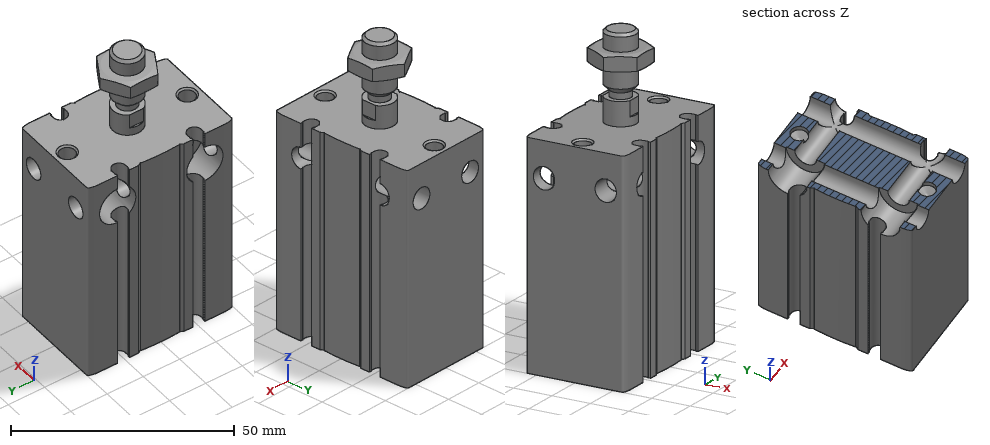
import cadquery as cq
import math

total_height = 78.0
rod_reach = 22.0
housing_width = 26.0
housing_length = 40.0
housing_height = total_height - rod_reach

half_width = housing_width / 2
half_length = housing_length / 2
corner_taper_length = 2.6
corner_taper_depth = 0.5
corner_radius = 0.6
groove_outer_y = 6.25
groove_step_y = 5.85
groove_step_depth = 0.2
groove_depth = 0.55
panel_edge_y = 5.4
panel_edge_depth = 0.4
panel_middle_depth = 0.15

slot_y = 10.4
slot_mouth = 3.3
slot_width = 3.7
slot_lip = 0.7
slot_depth = 3.6

cross_hole_diameter = 5.5
cross_hole_z = housing_height - 9.0
end_hole_x = 8.0
side_hole_y = 12.0
counterbore_diameter = 10.0
counterbore_depth = 8.0

top_hole_y = 16.5
top_hole_diameter = 4.1
top_hole_mouth = 5.0
top_hole_depth = 10.0
drill_tip_angle = 118.0

rod_diameter = 8.0
rod_neck_diameter = 5.3
rod_tip_diameter = 6.6
rod_shoulder_z = housing_height + 6.0
rod_neck_length = 1.55
rod_flat_width = 7.0
rod_flat_bottom_z = housing_height + 2.2

nut_across_flats = 13.0
nut_thickness = 4.0
nut_top_z = total_height - 4.3
nut_face_diameter = 11.8
nut_corner_drop = 0.4


def side_points(side):
    """Corners of the +X long side, from the panel edge to the taper (side = +1 or -1 in Y)."""
    taper_start_y = half_length - corner_taper_length
    return [
        (half_width - panel_edge_depth, side * panel_edge_y),
        (half_width - groove_depth, side * panel_edge_y),
        (half_width - groove_step_depth, side * groove_step_y),
        (half_width, side * groove_outer_y),
        (half_width, side * taper_start_y),
    ]


def half_profile():
    """The +X half of the housing outline, closed along the Y axis."""
    lower_side = side_points(-1)
    upper_side = side_points(1)
    corner_x = half_width - corner_taper_depth
    taper_middle_x = half_width - corner_taper_depth / 4
    taper_middle_y = half_length - corner_taper_length / 2
    outline = cq.Workplane("XY").moveTo(0, -half_length).lineTo(corner_x, -half_length)
    outline = outline.threePointArc((taper_middle_x, -taper_middle_y), lower_side[-1])
    for point in reversed(lower_side[:-1]):
        outline = outline.lineTo(*point)
    outline = outline.threePointArc((half_width - panel_middle_depth, 0), upper_side[0])
    for point in upper_side[1:]:
        outline = outline.lineTo(*point)
    outline = outline.threePointArc((taper_middle_x, taper_middle_y), (corner_x, half_length))
    return outline.lineTo(0, half_length).close()


def sensor_slot(y):
    """Cutter for one round-bottomed slot with a narrower mouth, in the +X side."""
    radius = slot_width / 2
    round_center_x = half_width - slot_depth + radius
    lip_x = half_width - slot_lip
    mouth_length = half_width - round_center_x
    chamber_length = lip_x - round_center_x
    cylinder = cq.Workplane("XY").center(round_center_x, y).circle(radius).extrude(housing_height)
    chamber = cq.Workplane("XY").center(round_center_x + chamber_length / 2, y)
    chamber = chamber.rect(chamber_length, slot_width).extrude(housing_height)
    mouth = cq.Workplane("XY").center(round_center_x + mouth_length / 2, y)
    mouth = mouth.rect(mouth_length, slot_mouth).extrude(housing_height)
    return cylinder.union(chamber).union(mouth)


def top_hole(y):
    """Cutter for one blind threaded hole with a chamfered mouth and a drill-point bottom."""
    radius = top_hole_diameter / 2
    mouth_radius = top_hole_mouth / 2
    tip_height = radius / math.tan(math.radians(drill_tip_angle / 2))
    floor_z = housing_height - top_hole_depth
    section = [
        (0, floor_z - tip_height),
        (radius, floor_z),
        (radius, housing_height - (mouth_radius - radius)),
        (mouth_radius, housing_height),
        (0, housing_height),
    ]
    cutter = cq.Workplane("XZ").polyline(section).close().revolve(360, (0, 0, 0), (0, 1, 0))
    return cutter.translate((0, y, 0))


def make_housing():
    half = half_profile().extrude(housing_height)
    for side in (-1, 1):
        half = half.cut(sensor_slot(side * slot_y))
    housing = half.union(half.mirror("YZ"))
    housing = housing.edges("|Z and (>Y or <Y)").fillet(corner_radius)

    for side in (-1, 1):
        end_hole = cq.Workplane("XZ").center(side * end_hole_x, cross_hole_z)
        end_hole = end_hole.circle(cross_hole_diameter / 2).extrude(half_length, both=True)
        side_hole = cq.Workplane("YZ").center(side * side_hole_y, cross_hole_z)
        side_hole = side_hole.circle(cross_hole_diameter / 2).extrude(half_width, both=True)
        counterbore = cq.Workplane("YZ", origin=(-half_width, 0, 0)).center(side * side_hole_y, cross_hole_z)
        counterbore = counterbore.circle(counterbore_diameter / 2).extrude(counterbore_depth)
        housing = housing.cut(end_hole).cut(side_hole).cut(counterbore)
        housing = housing.cut(top_hole(side * top_hole_y))
    return housing


def make_rod():
    radius = rod_diameter / 2
    neck_radius = rod_neck_diameter / 2
    tip_radius = rod_tip_diameter / 2
    neck_top_z = rod_shoulder_z + rod_neck_length
    section = [
        (0, housing_height),
        (radius, housing_height),
        (radius, rod_shoulder_z),
        (neck_radius, rod_shoulder_z),
        (neck_radius, neck_top_z),
        (radius, neck_top_z + radius - neck_radius),
        (radius, total_height - (radius - tip_radius)),
        (tip_radius, total_height),
        (0, total_height),
    ]
    rod = cq.Workplane("XZ").polyline(section).close().revolve(360, (0, 0, 0), (0, 1, 0))

    flat_cut_depth = (rod_diameter - rod_flat_width) / 2
    flat_cut_x = (rod_diameter + rod_flat_width) / 4
    for side in (-1, 1):
        flat_cut = cq.Workplane("XY", origin=(side * flat_cut_x, 0, rod_flat_bottom_z))
        flat_cut = flat_cut.rect(flat_cut_depth, rod_diameter).extrude(rod_shoulder_z - rod_flat_bottom_z)
        rod = rod.cut(flat_cut)
    return rod


def make_nut():
    """Hexagon nut with two flats facing X and its corners turned conical above and below."""
    hexagon_radius = nut_across_flats / math.sqrt(3)
    face_radius = nut_face_diameter / 2
    bottom_z = nut_top_z - nut_thickness
    nut = cq.Workplane("XY", origin=(0, 0, bottom_z)).polygon(6, 2 * hexagon_radius).extrude(nut_thickness)
    nut = nut.rotate((0, 0, 0), (0, 0, 1), 30)
    turned_section = [
        (rod_diameter / 2, bottom_z),
        (face_radius, bottom_z),
        (hexagon_radius, bottom_z + nut_corner_drop),
        (hexagon_radius, nut_top_z - nut_corner_drop),
        (face_radius, nut_top_z),
        (rod_diameter / 2, nut_top_z),
    ]
    turned_ring = cq.Workplane("XZ").polyline(turned_section).close().revolve(360, (0, 0, 0), (0, 1, 0))
    return nut.intersect(turned_ring)


housing = make_housing()
rod = make_rod()
nut = make_nut()

result = cq.Compound.makeCompound([housing.val(), rod.val(), nut.val()])